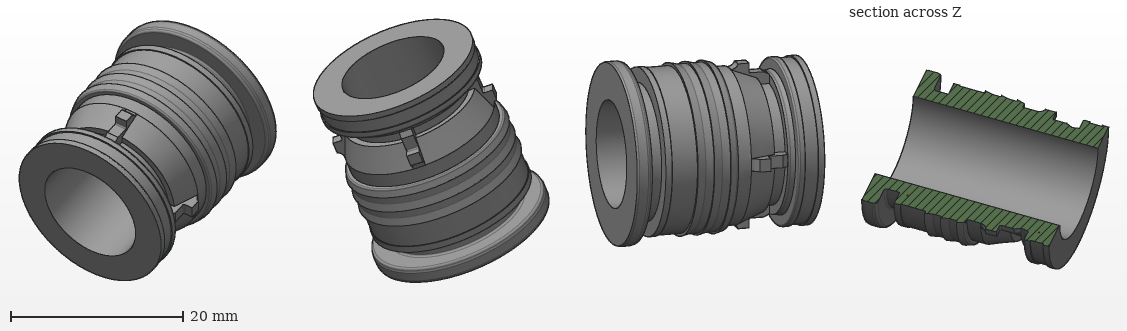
import cadquery as cq
import math

length = 22.95
bore_radius = 6.35

rim_radius = 9.92
front_groove_radius = 9.75
front_groove_start = 0.75
front_groove_end = 2.35
front_flange_end = 3.15
front_flange_fillet = 0.2

collar_root_radius = 8.55
collar_radius = 8.4
collar_step = 3.7
collar_end = 4.05
front_neck_radius = 7.32

nose_start = 5.55
nose_start_radius = 8.1
nose_end = 8.7
shoulder_radius = 9.3

barb_count = 3
barb_pitch = 2.0
barb_width = 1.0
barb_tip_radius = 10.15
first_barb_start = 10.4
barb_lead_fillet = 0.2

body_radius = 9.8
rear_rim_start = 18.45
rear_rim_end = 19.25

rear_neck_radius = 8.15
rear_neck_fillet = 0.25
rear_flange_start = 21.04
rear_flange_radius = 10.8
rear_flange_fillet = 0.3
edge_taper_depth = 0.08
edge_taper_width = 0.27

tab_count = 4
tab_width = 1.5
tab_root_radius = 6.8
tab_foot_radius = 8.75
tab_chamfer_end = 4.75
tab_ledge = 6.5
tab_crest_end = 7.85
tab_ledge_fillet = 0.15


def point_on_circle(center, radius, degrees):
    """Point on a circle, at the given angle from the outward radial direction."""
    angle = math.radians(degrees)
    return (center[0] + radius * math.cos(angle), center[1] + radius * math.sin(angle))


def make_sleeve():
    """Revolve the half section; its points are (radius, station along Y)."""
    front_arc_center = (rim_radius - front_flange_fillet, front_flange_end - front_flange_fillet)
    lead_arc_center = (rim_radius - barb_lead_fillet, first_barb_start + barb_lead_fillet)
    profile = (
        cq.Workplane("XY")
        .moveTo(bore_radius, 0)
        .lineTo(rim_radius, 0)
        .lineTo(rim_radius, front_groove_start)
        .lineTo(front_groove_radius, front_groove_start)
        .lineTo(front_groove_radius, front_groove_end)
        .lineTo(rim_radius, front_groove_end)
        .lineTo(rim_radius, front_arc_center[1])
        .threePointArc(
            point_on_circle(front_arc_center, front_flange_fillet, 45),
            (front_arc_center[0], front_flange_end),
        )
        .lineTo(collar_root_radius, front_flange_end)
        .lineTo(collar_radius, collar_step)
        .lineTo(collar_radius, collar_end)
        .lineTo(front_neck_radius, collar_end)
        .lineTo(front_neck_radius, nose_start)
        .lineTo(nose_start_radius, nose_start)
        .lineTo(shoulder_radius, nose_end)
        .lineTo(shoulder_radius, first_barb_start)
        .lineTo(lead_arc_center[0], first_barb_start)
        .threePointArc(
            point_on_circle(lead_arc_center, barb_lead_fillet, -45),
            (rim_radius, lead_arc_center[1]),
        )
    )

    for index in range(barb_count):
        barb_start = first_barb_start + index * barb_pitch
        barb_end = barb_start + barb_width
        land_radius = rim_radius if index < barb_count - 1 else body_radius
        if index > 0:
            profile = profile.lineTo(rim_radius, barb_start)
        profile = profile.lineTo(barb_tip_radius, barb_end).lineTo(land_radius, barb_end)

    neck_arc_center = (rear_neck_radius + rear_neck_fillet, rear_flange_start - rear_neck_fillet)
    taper_radius = rear_flange_radius - edge_taper_depth
    flange_arc_center = (taper_radius - rear_flange_fillet, rear_flange_start + rear_flange_fillet)
    profile = (
        profile.lineTo(body_radius, rear_rim_start)
        .lineTo(rim_radius, rear_rim_start)
        .lineTo(rim_radius, rear_rim_end)
        .lineTo(rear_neck_radius, rear_rim_end)
        .lineTo(rear_neck_radius, neck_arc_center[1])
        .threePointArc(
            point_on_circle(neck_arc_center, rear_neck_fillet, 135),
            (neck_arc_center[0], rear_flange_start),
        )
        .lineTo(flange_arc_center[0], rear_flange_start)
        .threePointArc(
            point_on_circle(flange_arc_center, rear_flange_fillet, -45),
            (taper_radius, flange_arc_center[1]),
        )
        .lineTo(rear_flange_radius, flange_arc_center[1] + edge_taper_width)
        .lineTo(rear_flange_radius, length - edge_taper_width)
        .lineTo(taper_radius, length)
        .lineTo(bore_radius, length)
        .close()
    )
    return profile.revolve(360, (0, 0, 0), (0, 1, 0))


def make_tab():
    """One snap tab on the +X side, with a concave ramp running out into the shoulder."""
    ramp_rise = rim_radius - shoulder_radius
    ramp_run = nose_end - tab_crest_end
    ramp_radius = (ramp_rise**2 + ramp_run**2) / (2 * ramp_rise)
    ramp_center = (shoulder_radius + ramp_radius, nose_end)
    ramp_half_angle = math.degrees(math.asin(ramp_run / ramp_radius)) / 2
    ledge_arc_center = (tab_foot_radius + tab_ledge_fillet, tab_ledge - tab_ledge_fillet)
    return (
        cq.Workplane("XY")
        .moveTo(tab_root_radius, collar_end)
        .lineTo(collar_radius, collar_end)
        .lineTo(tab_foot_radius, tab_chamfer_end)
        .lineTo(tab_foot_radius, ledge_arc_center[1])
        .threePointArc(
            point_on_circle(ledge_arc_center, tab_ledge_fillet, 135),
            (ledge_arc_center[0], tab_ledge),
        )
        .lineTo(rim_radius, tab_ledge)
        .lineTo(rim_radius, tab_crest_end)
        .threePointArc(
            point_on_circle(ramp_center, ramp_radius, 180 + ramp_half_angle),
            (shoulder_radius, nose_end),
        )
        .lineTo(tab_root_radius, nose_end)
        .close()
        .extrude(tab_width / 2, both=True)
    )


result = make_sleeve()
tab = make_tab()
for tab_index in range(tab_count):
    tab_angle = tab_index * 360 / tab_count
    result = result.union(tab.rotate((0, 0, 0), (0, 1, 0), tab_angle))